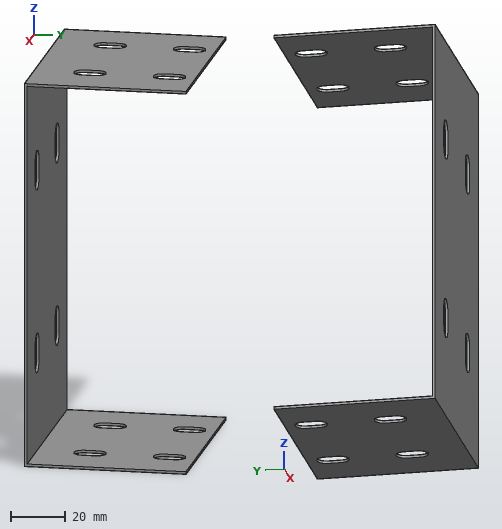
import cadquery as cq

width = 80.0
depth = 60.9
height = 146.7
thickness = 1.0

slot_width = 7.0
slot_column_spacing = width / 2

web_slot_length = 15.0
web_slot_row_spacing = 70.0

flange_slot_length = 12.0
flange_slot_row_spacing = 30.0
flange_slot_edge_distance = 10.0


def make_channel():
    """Web on the -Y side with a flange at the top and bottom, open towards +Y."""
    block = cq.Workplane("XY").box(width, depth, height, centered=(True, False, True))
    opening = (
        cq.Workplane("XY")
        .box(width, depth, height - 2 * thickness, centered=(True, False, True))
        .translate((0, thickness, 0))
    )
    return block.cut(opening)


def make_web_slots():
    """Four vertical slots through the web, centred on it."""
    return (
        cq.Workplane("XZ")
        .rarray(slot_column_spacing, web_slot_row_spacing, 2, 2)
        .slot2D(web_slot_length, slot_width, 90)
        .extrude(thickness, both=True)
    )


def make_flange_slots():
    """Four slots running along Y, cut through both flanges."""
    pattern_centre_y = depth - flange_slot_edge_distance - flange_slot_row_spacing / 2
    return (
        cq.Workplane("XY")
        .center(0, pattern_centre_y)
        .rarray(slot_column_spacing, flange_slot_row_spacing, 2, 2)
        .slot2D(flange_slot_length, slot_width, 90)
        .extrude(height, both=True)
    )


result = make_channel().cut(make_web_slots()).cut(make_flange_slots())